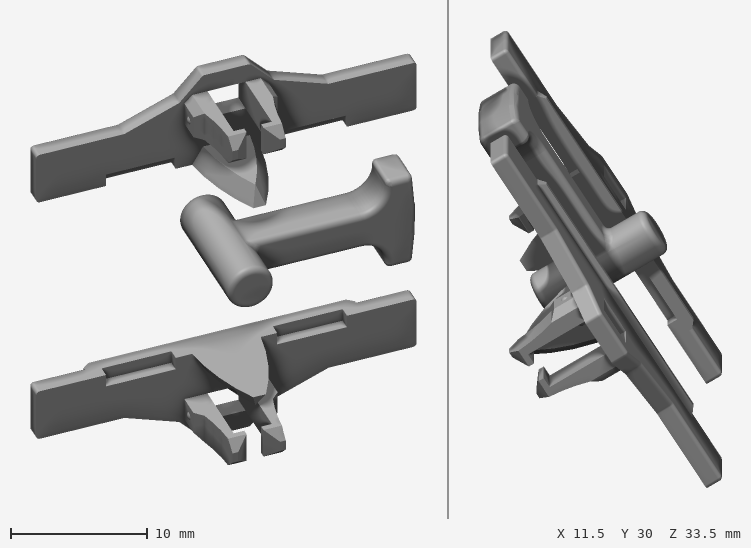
import cadquery as cq
import math


overall_height = 33.46
plate_height = 8.0
plate_length = 30.0
plate_thickness = 1.4
plate_round = 0.3
end_height = 4.38
shoulder_height = 6.0
slope_half = 8.05
shoulder_half = 3.72
crown_half = 1.85
clip_offset = overall_height / 2 - plate_height

rail_half = 10.7
rail_height = 1.05
rail_depth = 0.43
rail_bevel = 0.53

pocket_inner = 4.0
pocket_outer = 9.5
pocket_depth = 0.85
pocket_height = rail_height

window_half = 1.5
arm_bottom = 4.0
arm_height = 2.45
arm_root_half = 2.7
arm_tip_half = 2.1
arm_curve_start = 2.4
hook_inner = 5.15
hook_outer = 5.6
hook_gap_half = 0.67
hook_nose_half = 1.65
arm_length = 6.4
arm_tip_bevel = arm_length - hook_outer
pad_thickness = 0.62

tongue_height = 1.44
tongue_length = 6.5
tongue_root_half = 2.7
tongue_mid_x = 3.3
tongue_mid_half = 1.97
tongue_tip_half = 0.5
tongue_slope = 0.85
tongue_embed = 1.2

bump_radius = 0.3
bump_height = 0.12
arm_bump_x = 0.9
tongue_bump_x = 1.5

pin_length = 10.0
pin_radius = 1.8
handle_round = 0.5
stem_half_height = 1.5
stem_half_width = 1.68
head_inner = 12.0
head_outer = 14.05
head_crown = 14.36
head_half_height = 4.0
head_corner_round = 0.3
throat_radius = 2.0


def mirrored_pair(body):
    """The body and its reflection across the XZ plane."""
    return body.union(body.mirror("XZ"))


def bump():
    """Spherical cap standing on Z = 0 and centred on the Z axis."""
    sphere_radius = (bump_radius**2 + bump_height**2) / (2 * bump_height)
    sphere = cq.Workplane("XY").sphere(sphere_radius).translate((0, 0, bump_height - sphere_radius))
    keep = cq.Workplane("XY").box(4 * bump_radius, 4 * bump_radius, 2 * bump_height)
    return sphere.intersect(keep)


def plate():
    half = [
        (plate_length / 2, 0),
        (plate_length / 2, end_height),
        (slope_half, end_height),
        (shoulder_half, shoulder_height),
        (crown_half, plate_height),
    ]
    outline = half + [(-y, z) for y, z in reversed(half)]
    blank = cq.Workplane("YZ").polyline(outline).close().extrude(-plate_thickness)
    return blank.edges("|X or <X").fillet(plate_round)


def rail():
    """Raised strip whose upper edge and two ends are bevelled."""
    front = -plate_thickness - rail_depth
    section = [
        (-plate_thickness / 2, 0),
        (front, 0),
        (front, rail_height - rail_bevel),
        (-plate_thickness, rail_height),
        (-plate_thickness / 2, rail_height),
    ]
    strip = cq.Workplane("XZ").polyline(section).close().extrude(rail_half, both=True)
    plan = [
        (0, -rail_half),
        (-plate_thickness, -rail_half),
        (front, rail_bevel - rail_half),
        (front, rail_half - rail_bevel),
        (-plate_thickness, rail_half),
        (0, rail_half),
    ]
    return strip.intersect(cq.Workplane("XY").polyline(plan).close().extrude(rail_height))


def pocket():
    length = pocket_outer - pocket_inner
    box = cq.Workplane("XY").box(pocket_depth, length, pocket_height, centered=(False, False, False))
    return box.translate((-pocket_depth, pocket_inner, 0))


def window():
    box = cq.Workplane("XY").box(2 * plate_thickness, 2 * window_half, arm_height)
    return box.translate((0, 0, arm_bottom + arm_height / 2))


def arm():
    """Hooked arm on the +Y side, with the upper and lower corners of its tip bevelled."""
    run = arm_length - arm_curve_start
    drop = arm_root_half - arm_tip_half
    curve_radius = (run**2 + drop**2) / (2 * drop)
    middle_run = run / 2
    middle_rise = curve_radius - math.sqrt(curve_radius**2 - middle_run**2)
    hook = (
        cq.Workplane("XY", origin=(0, 0, arm_bottom))
        .moveTo(0, window_half)
        .lineTo(0, arm_root_half)
        .lineTo(arm_curve_start, arm_root_half)
        .threePointArc((arm_length - middle_run, arm_tip_half + middle_rise), (arm_length, arm_tip_half))
        .lineTo(arm_length, hook_nose_half)
        .lineTo(hook_outer, hook_gap_half)
        .lineTo(hook_inner, hook_gap_half)
        .lineTo(hook_inner, window_half)
        .close()
        .extrude(arm_height)
    )
    top = arm_bottom + arm_height
    side = [
        (0, arm_bottom),
        (hook_outer, arm_bottom),
        (arm_length, arm_bottom + arm_tip_bevel),
        (arm_length, top - arm_tip_bevel),
        (hook_outer, top),
        (0, top),
    ]
    return hook.intersect(cq.Workplane("XZ").polyline(side).close().extrude(-2 * arm_root_half))


def arm_pad():
    """Root pad on the +Y arm, bevelled at its upper edge and its far end, with a detent bump."""
    face = arm_root_half + pad_thickness
    top = arm_bottom + arm_height
    plan = [
        (0, window_half),
        (arm_curve_start, window_half),
        (arm_curve_start, arm_root_half),
        (arm_curve_start - pad_thickness, face),
        (0, face),
    ]
    section = [
        (window_half, arm_bottom),
        (face, arm_bottom),
        (face, top - pad_thickness),
        (arm_root_half, top),
        (window_half, top),
    ]
    pad = cq.Workplane("XY", origin=(0, 0, arm_bottom)).polyline(plan).close().extrude(arm_height)
    pad = pad.intersect(cq.Workplane("YZ").polyline(section).close().extrude(arm_curve_start))
    bump_z = arm_bottom + (arm_height - pad_thickness) / 2
    detent = bump().rotate((0, 0, 0), (1, 0, 0), -90).translate((arm_bump_x, face, bump_z))
    return pad.union(detent)


def tongue():
    """Bullet-shaped tongue whose flanks and nose lean in towards a pointed crest."""
    base = (
        cq.Workplane("XY")
        .moveTo(-tongue_embed, -tongue_root_half)
        .lineTo(0, -tongue_root_half)
        .threePointArc((tongue_mid_x, -tongue_mid_half), (tongue_length, -tongue_tip_half))
        .lineTo(tongue_length, tongue_tip_half)
        .threePointArc((tongue_mid_x, tongue_mid_half), (0, tongue_root_half))
        .lineTo(-tongue_embed, tongue_root_half)
        .close()
    )
    lean = math.degrees(math.atan(tongue_slope / tongue_height))
    body = base.extrude(tongue_height, taper=lean)
    return body.union(bump().translate((tongue_bump_x, 0, tongue_height)))


def clip():
    """Clip with its mating face on Z = 0."""
    body = plate().union(rail())
    body = body.cut(mirrored_pair(pocket())).cut(window())
    return body.union(mirrored_pair(arm().union(arm_pad()))).union(tongue())


def handle():
    stem = (
        cq.Workplane("YZ", origin=(-stem_half_width, 0, 0))
        .moveTo(0, -stem_half_height)
        .lineTo(head_inner - throat_radius, -stem_half_height)
        .radiusArc((head_inner, -stem_half_height - throat_radius), throat_radius)
        .lineTo(head_inner, -head_half_height)
        .lineTo(head_outer, -head_half_height)
        .threePointArc((head_crown, 0), (head_outer, head_half_height))
        .lineTo(head_inner, head_half_height)
        .lineTo(head_inner, stem_half_height + throat_radius)
        .radiusArc((head_inner - throat_radius, stem_half_height), throat_radius)
        .lineTo(0, stem_half_height)
        .close()
        .extrude(2 * stem_half_width)
    )
    stem = stem.edges("|X and (>Z or <Z)").fillet(head_corner_round)
    stem = stem.faces("<X or >X").edges().fillet(handle_round)

    pin = cq.Workplane("YZ").circle(pin_radius).extrude(pin_length / 2, both=True)
    pin = pin.faces("<X or >X").edges().fillet(handle_round)
    body = stem.union(pin)
    margin = 0.1
    joint = cq.selectors.BoxSelector(
        (-stem_half_width - margin, margin, -pin_radius),
        (stem_half_width + margin, pin_radius + margin, pin_radius),
        boundingbox=True,
    )
    return body.edges(joint).fillet(handle_round)


upper_clip = clip().translate((0, 0, clip_offset))
lower_clip = upper_clip.mirror("XY")
toggle = handle()
result = cq.Compound.makeCompound([upper_clip.val(), lower_clip.val(), toggle.val()])